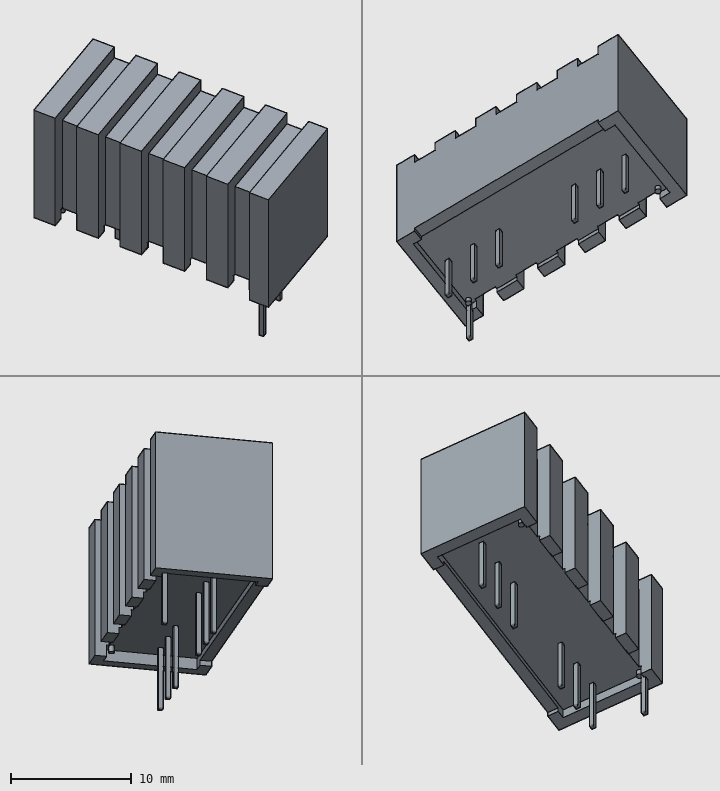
import cadquery as cq

length = 22.3
depth = 10.0
height = 16.6

end_plate_height = 12.1
rib_height = 11.66
ceiling_drop = 11.1

rib_pitch = 4.1
groove_width = rib_pitch / 2
first_groove_x = 2.03
groove_depth = 1.2
groove_count = 5

wall = 1.0
peg_diameter = 0.5
left_peg_x = 1.9
right_peg_x = 20.98

pin_width = 0.4
pin_tip_radius = 0.1
pin_embed = 1.0
pin_pitch = 2.55
first_pin_x = 2.4
pin_slots = (0, 1, 2, 5, 6, 7)
pin_row_y = 5.49
front_pin_x = 21.15
front_pin_y = 1.05

end_plate_bottom = height - end_plate_height
rib_bottom = height - rib_height
ceiling = height - ceiling_drop
last_groove_end = first_groove_x + (groove_count - 1) * rib_pitch + groove_width


def block(x_range, y_range, z_range):
    """Box spanning the given (low, high) pairs."""
    x, y, z = x_range[0], y_range[0], z_range[0]
    size = (x_range[1] - x, y_range[1] - y, z_range[1] - z)
    return cq.Workplane("XY").box(*size, centered=False).translate((x, y, z))


def housing():
    """Solid block with grooves, raised between its two deeper end plates."""
    body = block((0, length), (0, depth), (end_plate_bottom, height))
    middle = (first_groove_x, last_groove_end)
    body = body.cut(block(middle, (0, depth), (end_plate_bottom, rib_bottom)))
    for i in range(groove_count):
        start = first_groove_x + i * rib_pitch
        span = (start, start + groove_width)
        body = body.cut(block(span, (0, groove_depth), (end_plate_bottom, height)))
        body = body.cut(block(span, (0, depth), (height - groove_depth, height)))
    return body


def pocket():
    """Shallow pocket open at the bottom, leaving a wall around the rim."""
    return block((wall, length - wall), (wall, depth - wall), (end_plate_bottom, ceiling))


def pegs():
    """Two round pegs level with the groove floors, hanging from the ceiling to rib level."""
    radius = peg_diameter / 2
    peg_y = groove_depth + radius
    spots = [(left_peg_x, peg_y), (right_peg_x, peg_y)]
    base = cq.Workplane("XY", origin=(0, 0, rib_bottom))
    return base.pushPoints(spots).circle(radius).extrude(ceiling - rib_bottom)


def pin(x, y):
    """Square pin from its rounded tip up into the housing."""
    half = pin_width / 2
    post = block((x - half, x + half), (y - half, y + half), (0, ceiling + pin_embed))
    return post.faces("<Z").edges().fillet(pin_tip_radius)


result = housing().cut(pocket()).union(pegs())
for slot in pin_slots:
    result = result.union(pin(first_pin_x + slot * pin_pitch, pin_row_y))
result = result.union(pin(front_pin_x, front_pin_y))